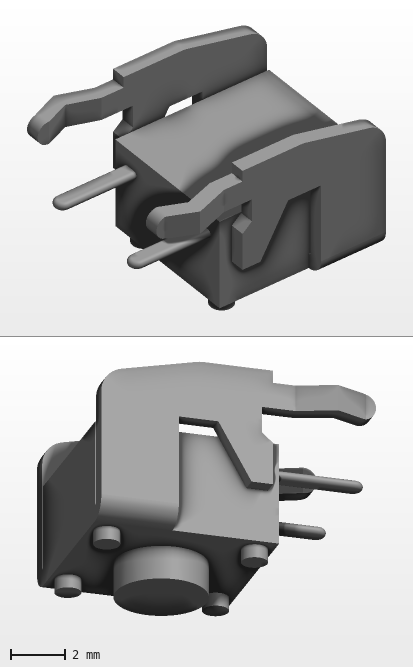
import cadquery as cq
import math


total_length = 10.6
housing_width = 6.36
housing_length = 7.1
housing_top = 3.98

button_diameter = 3.52
button_drop = 1.3
post_diameter = 1.0
post_drop = 0.52
post_spacing_x = 4.76
post_spacing_y = 5.7

sheet = 0.65
bend_inner_radius = 0.12
wall_length = 2.99
wall_top = 6.55
wall_corner_radius = 1.0
wall_slope_length = 3.81
wall_slope_angle = 12.5

hook_front = 6.62
hook_neck = 6.19
hook_top = 4.04
hook_chamfer_bottom = 3.66
hook_bottom = 2.0
hook_toe_back = 5.8
window_top = 4.25
window_front = 4.52

arm_top = 6.06
arm_height = 1.02
arm_peak_x = 4.47
arm_peak_inner_x = 3.75
arm_peak = 8.98
arm_bend_outer = 7.48
arm_bend_inner = 7.65
arm_tip_outer = 10.22
arm_tip_inner = 10.07

pin_spacing = 4.53
pin_width = 0.74
pin_thickness = 0.34
pin_height = 3.03

housing_middle_y = -housing_length / 2
wall_inner_x = housing_width / 2 + bend_inner_radius
wall_outer_x = wall_inner_x + sheet
bend_outer_radius = bend_inner_radius + sheet
arm_bottom = arm_top - arm_height


def underside_cylinder(points, diameter, drop):
    """Vertical cylinders from the top of the bracket plate to below its underside."""
    return (
        cq.Workplane("XY", origin=(0, housing_middle_y, -drop))
        .pushPoints(points)
        .circle(diameter / 2)
        .extrude(drop + sheet)
    )


def make_studs():
    """Push button and four corner rivet posts."""
    post_points = [
        (side * post_spacing_x / 2, end * post_spacing_y / 2)
        for side in (-1, 1)
        for end in (-1, 1)
    ]
    button = underside_cylinder([(0, 0)], button_diameter, button_drop)
    return button.add(underside_cylinder(post_points, post_diameter, post_drop)).combine()


def make_housing():
    """Rectangular block on the bracket plate, with its button and posts below."""
    block = cq.Workplane("XY", origin=(0, housing_middle_y, sheet)).box(
        housing_width, housing_length, housing_top - sheet, centered=(True, True, False)
    )
    return block.union(make_studs())


def make_wall_profile():
    """Side silhouette of the wall, hook and arm, wide enough in X to hold the arm's kink."""
    slope_drop = wall_slope_length * math.tan(math.radians(wall_slope_angle))
    slope_back = (0, wall_top - slope_drop)
    slope_front = (-wall_slope_length, wall_top)
    arm_radius = arm_height / 2
    silhouette = (
        cq.Workplane("YZ", origin=(wall_inner_x, 0, 0))
        .moveTo(0, bend_outer_radius)
        .lineTo(*slope_back)
        .lineTo(*slope_front)
        .lineTo(-hook_front, wall_top)
        .lineTo(-hook_front, arm_top)
        .lineTo(-total_length + arm_radius, arm_top)
        .threePointArc((-total_length, arm_top - arm_radius), (-total_length + arm_radius, arm_bottom))
        .lineTo(-hook_neck, arm_bottom)
        .lineTo(-hook_neck, hook_top)
        .lineTo(-hook_front, hook_chamfer_bottom)
        .lineTo(-hook_front, hook_bottom)
        .lineTo(-hook_toe_back, hook_bottom)
        .lineTo(-window_front, window_top)
        .lineTo(-wall_length, window_top)
        .lineTo(-wall_length, bend_outer_radius)
        .close()
        .extrude(arm_peak_x - wall_inner_x)
    )
    middle_x = (wall_inner_x + arm_peak_x) / 2
    for y, z in (slope_back, slope_front):
        corner_edge = cq.selectors.NearestToPointSelector((middle_x, y, z))
        silhouette = silhouette.edges("|X").edges(corner_edge).fillet(wall_corner_radius)
    return silhouette


def make_wall_plan():
    """Wall seen from above: straight sheet that kinks outward along the arm."""
    plan = [
        (wall_inner_x, 0),
        (wall_outer_x, 0),
        (wall_outer_x, -arm_bend_outer),
        (arm_peak_x, -arm_peak),
        (wall_outer_x, -arm_tip_outer),
        (wall_outer_x, -total_length),
        (wall_inner_x, -total_length),
        (wall_inner_x, -arm_tip_inner),
        (arm_peak_inner_x, -arm_peak),
        (wall_inner_x, -arm_bend_inner),
    ]
    return cq.Workplane("XY").polyline(plan).close().extrude(wall_top)


def make_bend():
    """Quarter-round bend joining the plate to the +X wall."""
    diagonal = math.sqrt(0.5)
    centre_x = housing_width / 2
    centre_z = bend_outer_radius
    return (
        cq.Workplane("XZ")
        .moveTo(centre_x, 0)
        .threePointArc(
            (centre_x + bend_outer_radius * diagonal, centre_z - bend_outer_radius * diagonal),
            (wall_outer_x, centre_z),
        )
        .lineTo(wall_inner_x, centre_z)
        .threePointArc(
            (centre_x + bend_inner_radius * diagonal, centre_z - bend_inner_radius * diagonal),
            (centre_x, sheet),
        )
        .close()
        .extrude(wall_length)
    )


def make_bracket():
    """Sheet bracket: plate under the housing, with a bent-up wall on each side."""
    plate = cq.Workplane("XY", origin=(0, housing_middle_y, 0)).box(
        housing_width, housing_length, sheet, centered=(True, True, False)
    )
    wall = make_wall_profile().intersect(make_wall_plan())
    side = wall.union(make_bend())
    bracket = plate.union(side).union(side.mirror("YZ"))
    return bracket.cut(make_studs())


def make_pin(centre_x):
    """Flat pin with fully rounded edges and a rounded tip, standing on the housing front."""
    edge_radius = pin_thickness / 2
    flat_half = pin_width / 2 - edge_radius
    tip_centre_y = -total_length + pin_width / 2
    shank = (
        cq.Workplane("XZ", origin=(centre_x, -housing_length, pin_height))
        .slot2D(pin_width, pin_thickness)
        .extrude(-tip_centre_y - housing_length)
    )
    tip = (
        cq.Workplane("XZ", origin=(centre_x, tip_centre_y, pin_height))
        .moveTo(0, -edge_radius)
        .lineTo(flat_half, -edge_radius)
        .threePointArc((pin_width / 2, 0), (flat_half, edge_radius))
        .lineTo(0, edge_radius)
        .close()
        .revolve(360, (0, 0, 0), (0, 1, 0))
    )
    return shank.union(tip)


housing = make_housing()
bracket = make_bracket()
pins = [make_pin(side * pin_spacing / 2) for side in (-1, 1)]

result = cq.Compound.makeCompound(
    [housing.solids().val(), bracket.solids().val(), *[pin.solids().val() for pin in pins]]
)